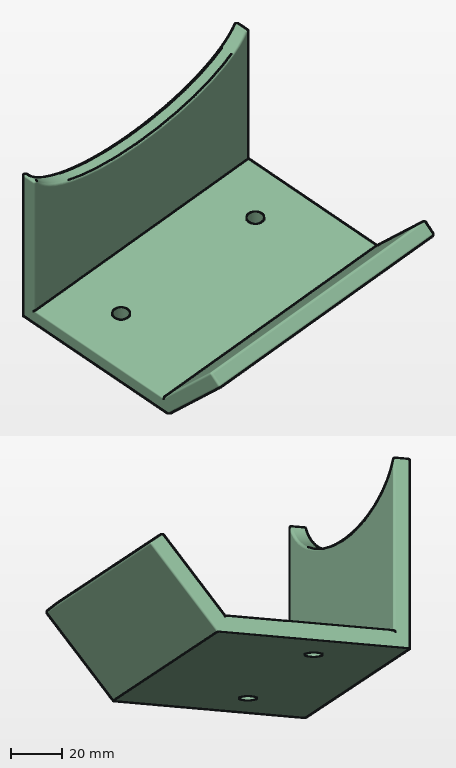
import cadquery as cq
import math

width = 120.0
thickness = 7.0
floor_length = 80.0
flange_length = 43.5
flange_angle = 50.0
wall_height = 81.6
edge_round = 1.0
tolerance = 0.01

saddle_half_width = 60.6
saddle_depth = 26.2
saddle_bottom = 57.0

hole_diameter = 7.0
hole_x = 32.0
hole_spacing = 75.0

angle = math.radians(flange_angle)
along_x, along_z = math.cos(angle), math.sin(angle)
tip_x = floor_length + flange_length * along_x
tip_z = flange_length * along_z
inner_tip_x = tip_x - thickness * along_z
inner_tip_z = tip_z + thickness * along_x
inner_bend_x = floor_length - thickness * math.tan(angle / 2)


def bracket_body():
    """Bent plate of constant thickness, centred on Y = 0."""
    outline = [
        (0, 0),
        (floor_length, 0),
        (tip_x, tip_z),
        (inner_tip_x, inner_tip_z),
        (inner_bend_x, thickness),
        (thickness, thickness),
        (thickness, wall_height),
        (0, wall_height),
    ]
    return cq.Workplane("XZ").polyline(outline).close().extrude(width / 2, both=True)


def saddle_cutter():
    """Elliptical cylinder along X that scoops out the top of the wall."""
    return (
        cq.Workplane("YZ")
        .center(0, saddle_bottom + saddle_depth)
        .ellipse(saddle_half_width, saddle_depth)
        .extrude(thickness)
    )


def hole_cutter():
    """Pair of through holes in the floor."""
    return (
        cq.Workplane("XY")
        .pushPoints([(hole_x, side * hole_spacing / 2) for side in (-1, 1)])
        .circle(hole_diameter / 2)
        .extrude(thickness)
    )


def is_rounded(edge):
    """True for every edge except those of the underside, the inner bends and the holes."""
    box = edge.BoundingBox()
    middle = edge.Center()
    on_underside = box.zmax < tolerance
    is_inner_bend = abs(middle.z - thickness) < tolerance and box.ylen > width / 2
    in_floor = box.zmax < thickness + tolerance
    is_hole = in_floor and box.ylen < hole_diameter + tolerance and abs(middle.y) < width / 2 - tolerance
    return not (on_underside or is_inner_bend or is_hole)


body = bracket_body().cut(saddle_cutter()).cut(hole_cutter())
rounded_edges = [edge for edge in body.edges().vals() if is_rounded(edge)]
result = body.newObject(rounded_edges).fillet(edge_round)